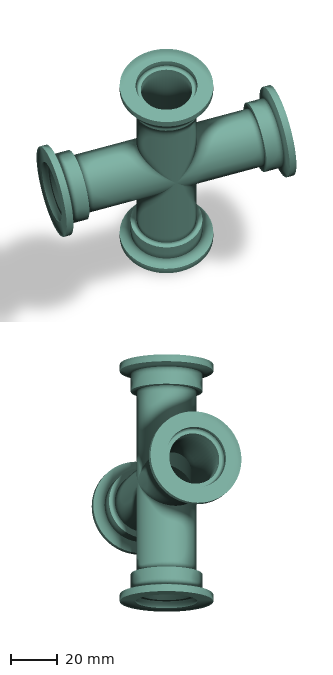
import cadquery as cq

span = 103.6
half_span = span / 2

tube_diameter = 25.5
bore_diameter = 22.0

flange_diameter = 40.0
collar_diameter = 30.7
rim_thickness = 3.0
taper_end = 4.2
flange_length = 11.8
recess_diameter = 26.4
recess_depth = 3.0
lip_length = 1.7

socket_start = recess_depth + lip_length
tube_span = span - 2 * socket_start

arm_angles = (0, 90, 180, 270)


def make_cross():
    """Two equal tubes crossing at right angles, with open bores."""
    def crossed_cylinders(diameter):
        upright = cq.Workplane("XY").circle(diameter / 2).extrude(tube_span / 2, both=True)
        level = cq.Workplane("XZ").circle(diameter / 2).extrude(tube_span / 2, both=True)
        return upright.union(level)

    return crossed_cylinders(tube_diameter).cut(crossed_cylinders(bore_diameter))


def make_flange(angle):
    """Clamp flange with a recess in its face and a socket for the tube end."""
    def at_depth(diameter, depth):
        return (diameter / 2, half_span - depth)

    profile = [
        at_depth(recess_diameter, 0),
        at_depth(flange_diameter, 0),
        at_depth(flange_diameter, rim_thickness),
        at_depth(collar_diameter, taper_end),
        at_depth(collar_diameter, flange_length),
        at_depth(tube_diameter, flange_length),
        at_depth(tube_diameter, socket_start),
        at_depth(bore_diameter, socket_start),
        at_depth(bore_diameter, recess_depth),
        at_depth(recess_diameter, recess_depth),
    ]
    flange = cq.Workplane("XZ").polyline(profile).close().revolve(360, (0, 0, 0), (0, 1, 0))
    return flange.rotate((0, 0, 0), (1, 0, 0), angle)


cross = make_cross()
flanges = [make_flange(angle) for angle in arm_angles]

result = cq.Compound.makeCompound([cross.val(), *[flange.val() for flange in flanges]])